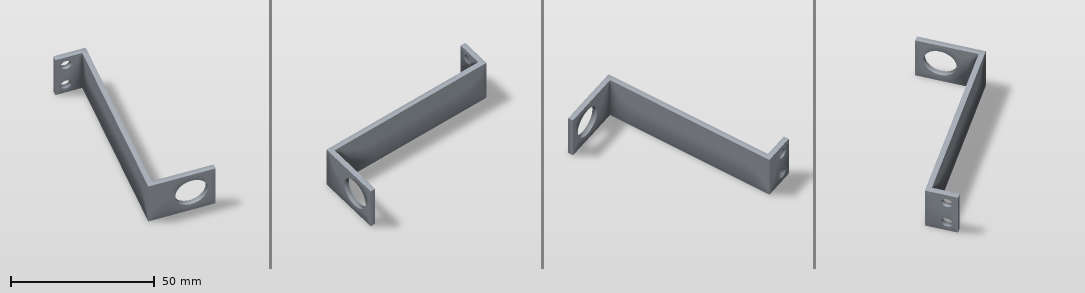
import cadquery as cq

length = 69.0
height = 18.0
thickness = 2.0

front_flange = 12.0
rear_flange = 25.0

large_hole_diameter = 12.0
large_hole_edge_distance = 9.0

small_hole_diameter = 4.0
small_hole_edge_distance = 4.0
small_hole_spacing = 10.0

front_end = thickness - front_flange
rear_end = rear_flange
middle_height = height / 2


def plate(x, y, size_x, size_y):
    """Full-height plate with its lower X and Y corner at (x, y)."""
    return cq.Workplane("XY").box(size_x, size_y, height, centered=False).translate((x, y, 0))


def flange_hole(x, y, z, diameter):
    """Cylinder along X that cuts through a flange starting at x."""
    return cq.Workplane("YZ", origin=(x, y, z)).circle(diameter / 2).extrude(thickness)


web = plate(0, 0, length, thickness)
front_plate = plate(0, front_end, thickness, front_flange)
rear_plate = plate(length - thickness, 0, thickness, rear_flange)
result = web.union(front_plate).union(rear_plate).clean()

result = result.cut(
    flange_hole(
        length - thickness,
        rear_end - large_hole_edge_distance,
        middle_height,
        large_hole_diameter,
    )
)

for side in (-1, 1):
    hole_z = middle_height + side * small_hole_spacing / 2
    result = result.cut(
        flange_hole(0, front_end + small_hole_edge_distance, hole_z, small_hole_diameter)
    )